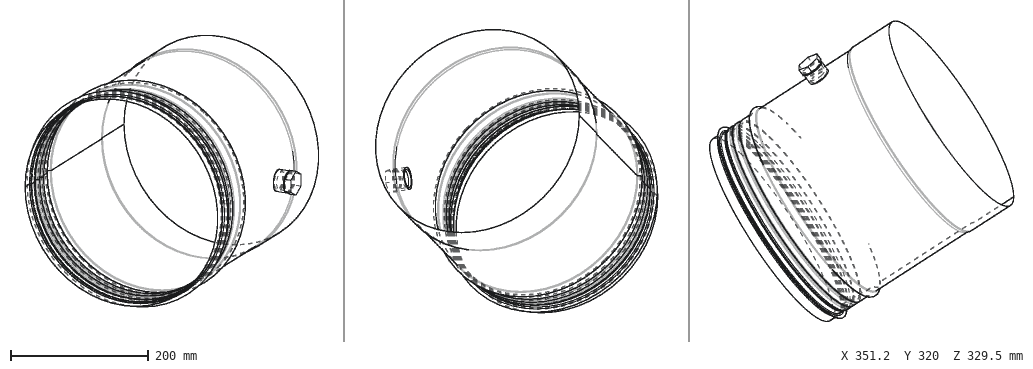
import cadquery as cq
import math

pipe_length = 320.0
back_y = pipe_length / 2
front_y = -pipe_length / 2
pipe_outer_radius = 316.5 / 2
pipe_inner_radius = 315.5 / 2
wall = pipe_outer_radius - pipe_inner_radius

collar_outer_radius = 319.7 / 2
collar_end_y = 90.0
collar_cone_end_y = 85.0
collar_bend_radius = 5.3

seam_gap = 0.1

bead_y = -83.0
bead_height = 5.3
bead_rim_radius = 1.0
bead_crown_radius = 5.5

groove_depth = 4.2
groove_rim_radius = 2.0
groove_crown_radius = 0.7
groove_ys = [-109.3, -121.5]

recess_floor_radius = 312.0 / 2
recess_start_y = -129.5
recess_floor_start_y = -132.5
recess_floor_end_y = -144.5
recess_end_y = -145.8

gasket_start_y = -134.0
gasket_end_y = -143.5
gasket_band_radius = 157.0
gasket_lip_radius = 329.5 / 2
lip_back_y = -140.0
lip_thickness = 1.0
lip_foot_radius = 159.5
lip_foot_thickness = 2.0

port_y = 34.8
socket_diameter = 32.5
socket_start_x = pipe_inner_radius
socket_end_x = 174.2
port_bore_diameter = 26.5
washer_diameter = 31.0
washer_bore_diameter = 27.0
washer_thickness = 1.5
hex_across_flats = 32.0
hex_end_x = 186.5
shank_end_x = 161.5


def add_collar_bend(profile, inset):
    """Run down the collar and round the bend into its cone."""
    cone_angle = math.atan2(collar_outer_radius - pipe_outer_radius, collar_end_y - collar_cone_end_y)
    bend_radius = collar_bend_radius - inset
    centre_radius = collar_outer_radius - collar_bend_radius
    centre_y = collar_end_y + collar_bend_radius * math.tan(cone_angle / 2)

    def bend_point(angle):
        """Point on the bend, angle measured from the collar's end of the arc."""
        return centre_radius + bend_radius * math.cos(angle), centre_y - bend_radius * math.sin(angle)

    return profile.lineTo(*bend_point(0)).threePointArc(bend_point(cone_angle / 2), bend_point(cone_angle))


def rolled_half_width(height, rim_radius, crown_radius):
    """Half width of a bead or groove whose crown arc meets both rim arcs smoothly."""
    blend_radius = rim_radius + crown_radius
    rise = min(height, blend_radius)
    return math.sqrt(blend_radius**2 - (blend_radius - rise) ** 2)


def add_roll(profile, side, centre_y, height, rim_radius, crown_radius, outward):
    """Add a bead (outward = 1) or a groove (outward = -1): rim arc, crown arc, rim arc.

    A roll higher than its two radii together gets straight walls between rim and crown.
    """
    half_width = rolled_half_width(height, rim_radius, crown_radius)
    wall_height = max(0, height - rim_radius - crown_radius)
    turn = math.asin(half_width / (rim_radius + crown_radius))

    def rim_point(angle, end):
        """Point on the rim arc, angle from its foot, on the +Y (end = 1) or -Y (end = -1) side."""
        rise = rim_radius * (1 - math.cos(angle))
        return side + outward * rise, centre_y + end * (half_width - rim_radius * math.sin(angle))

    crown_foot = height - crown_radius * (1 - math.cos(turn))
    crown_foot_y = crown_radius * math.sin(turn)
    profile = profile.lineTo(*rim_point(0, 1)).threePointArc(rim_point(turn / 2, 1), rim_point(turn, 1))
    if wall_height > 0:
        profile = profile.lineTo(side + outward * crown_foot, centre_y + crown_foot_y)
    profile = profile.threePointArc(
        (side + outward * height, centre_y), (side + outward * crown_foot, centre_y - crown_foot_y)
    )
    if wall_height > 0:
        profile = profile.lineTo(*rim_point(turn, -1))
    return profile.threePointArc(rim_point(turn / 2, -1), rim_point(0, -1))


def revolve_about_y(profile):
    """Full turn about the Y axis, starting and ending on the -X side."""
    return profile.close().revolve(360, (0, 0, 0), (0, 1, 0)).rotate((0, 0, 0), (0, 1, 0), 180)


def filled_pipe(inset):
    """Pipe without its bore, bounded by the pipe's outer skin moved inwards by inset."""
    radius = pipe_outer_radius - inset
    floor_radius = recess_floor_radius - inset
    profile = (
        cq.Workplane("XY")
        .moveTo(0, back_y)
        .lineTo(collar_outer_radius - inset, back_y)
    )
    profile = add_collar_bend(profile, inset).lineTo(radius, collar_cone_end_y)
    profile = add_roll(
        profile,
        radius,
        bead_y,
        bead_height,
        bead_rim_radius + inset,
        bead_crown_radius - inset,
        1,
    )
    for groove_y in groove_ys:
        profile = add_roll(
            profile,
            radius,
            groove_y,
            groove_depth,
            groove_rim_radius - inset,
            groove_crown_radius + inset,
            -1,
        )
    profile = (
        profile.lineTo(radius, recess_start_y)
        .lineTo(floor_radius, recess_floor_start_y)
        .lineTo(floor_radius, recess_floor_end_y)
        .lineTo(radius, recess_end_y)
        .lineTo(radius, front_y)
        .lineTo(0, front_y)
    )
    return revolve_about_y(profile)


def port_cylinder(diameter, start_x, end_x):
    """Cylinder on the port axis between two X positions."""
    return (
        cq.Workplane("YZ", origin=(start_x, port_y, 0)).circle(diameter / 2).extrude(end_x - start_x)
    )


def make_pipe():
    """Thin pipe with its rolled profile, its open seam and the hole for the socket."""
    shell = filled_pipe(0).cut(filled_pipe(wall))
    seam_depth = pipe_outer_radius + 2 * bead_height
    seam = cq.Workplane("XY", origin=(-seam_depth / 2, 0, 0)).box(seam_depth, pipe_length, seam_gap)
    return shell.cut(port_cylinder(socket_diameter, 0, socket_end_x)).cut(seam)


def make_gasket():
    """Ring that lies on the recess floor, with a lip that reaches out past the pipe."""
    profile = (
        cq.Workplane("XY")
        .moveTo(recess_floor_radius, gasket_start_y)
        .lineTo(gasket_band_radius, gasket_start_y)
        .lineTo(gasket_band_radius, lip_back_y)
        .lineTo(gasket_lip_radius, lip_back_y)
        .lineTo(gasket_lip_radius, lip_back_y - lip_thickness)
        .lineTo(lip_foot_radius, lip_back_y - lip_thickness)
        .lineTo(gasket_band_radius, lip_back_y - lip_foot_thickness)
        .lineTo(gasket_band_radius, gasket_end_y)
        .lineTo(recess_floor_radius, gasket_end_y)
    )
    return revolve_about_y(profile)


def make_socket():
    """Short tube that stands in the pipe's hole, its flat inner end level with the pipe's bore."""
    return port_cylinder(socket_diameter, socket_start_x, socket_end_x).cut(
        port_cylinder(port_bore_diameter, socket_start_x, socket_end_x)
    )


def make_washer():
    """Flat sealing washer between the socket and the plug's head."""
    end_x = socket_end_x + washer_thickness
    return port_cylinder(washer_diameter, socket_end_x, end_x).cut(
        port_cylinder(washer_bore_diameter, socket_end_x, end_x)
    )


def make_plug():
    """Hexagon head, two corners towards +Z and -Z, on a plain shank that fills the socket's bore."""
    head_x = socket_end_x + washer_thickness
    across_corners = hex_across_flats / math.cos(math.pi / 6)
    head = (
        cq.Workplane("YZ", origin=(head_x, port_y, 0))
        .transformed(rotate=(0, 0, 90))
        .polygon(6, across_corners)
        .extrude(hex_end_x - head_x)
    )
    return head.union(port_cylinder(port_bore_diameter, shank_end_x, head_x))


pipe = make_pipe()
gasket = make_gasket()
socket = make_socket()
washer = make_washer()
plug = make_plug()

result = cq.Compound.makeCompound(
    [pipe.val(), gasket.val(), socket.val(), washer.val(), plug.val()]
)